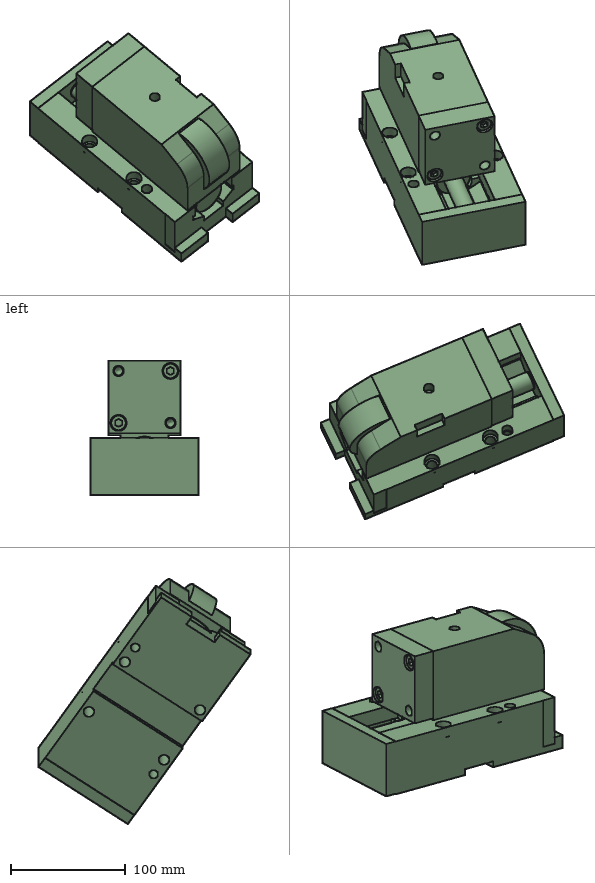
import cadquery as cq
import math


BASE_LENGTH = 190.0
BASE_WIDTH = 94.0
RAIL_HEIGHT = 49.8
RAIL_END = 181.6
FOOT_HEIGHT = 12.2
FOOT_NOTCH_WIDTH = 29.6
STOP_THICKNESS = 10.3
STOP_RISE = 0.2
STOP_RELIEF = 0.5
KEYWAY_START = 85.1
KEYWAY_END = 115.1
KEYWAY_DEPTH = 5.5
PAD_START = 169.5
PAD_BOTTOM = 6.0
PAD_DEPTH = 0.2

LIP_HALF_WIDTH = 22.2
LIP_THICKNESS = 13.5
UNDERCUT_HALF_WIDTH = 24.5
LEDGE_HALF_WIDTH = 23.2
LEDGE_HEIGHT = 31.7
TROUGH_HALF_WIDTH = 11.5
TROUGH_FLOOR = 19.0
SLOT_ANGLE = 30.0
LIP_BOTTOM = RAIL_HEIGHT - LIP_THICKNESS

HOLE_OFFSET = 39.5
BOLT_HOLE_X = (67.0, 122.7)
BOLT_HOLE_RADIUS = 4.5
COUNTERBORE_RADIUS = 6.6
COUNTERBORE_DEPTH = 9.5
RAIL_TAPPED_PLACES = ((51.0, HOLE_OFFSET), (138.9, -HOLE_OFFSET))

THREAD_RADIUS = 4.5
TAP_DRILL_RADIUS = 3.8
THREAD_DEPTH = 11.4
DRILL_POINT_ANGLE = 118.0

SLIDE_START = 62.1
SLIDE_WIDTH = 63.0
SLIDE_BOTTOM = 52.0
SLIDE_TOP = 117.0
NECK_WIDTH = 42.0
RUNNER_START = 57.8
RUNNER_BOTTOM_HALF_WIDTH = 13.3
SLOPE_START = 149.0
NOSE_ARC_RADIUS = 24.1
SLOPE_ANGLE = 26.6
FOLLOWER_X = 157.1
FOLLOWER_RADIUS = 31.7
FOLLOWER_WIDTH = 24.1
POCKET_START = 107.2
POCKET_END = 133.4
POCKET_INNER_Y = 26.2
POCKET_DEPTH = 15.2
LIFTING_HOLE_X = 108.0
LIFTING_HOLE_RADIUS = 4.4
LIFTING_HOLE_DEPTH = 15.2

PLATE_START = 42.2
PLATE_BOTTOM = 54.0
PLATE_HOLE_OFFSET = 22.6
PLATE_HOLE_DEPTH = 15.2
HEAD_BORE_RADIUS = 7.0
HEAD_RADIUS = 6.3
HEAD_BORE_DEPTH = 9.5
HEAD_RECESS = 1.9
HEX_WIDTH = 6.0
HEX_DEPTH = 3.8

SPRING_HEIGHT = 35.5
CYLINDER_RADIUS = 15.5
CYLINDER_END = 175.5
CYLINDER_CHAMFER = 0.5
ROD_RADIUS = 8.2
ROD_CHAMFER_LENGTH = 1.1
ROD_CHAMFER_HEIGHT = 0.5


def block(x_range, y_range, z_range):
    """Box between two limits on each axis."""
    size = [high - low for low, high in (x_range, y_range, z_range)]
    corner = (x_range[0], y_range[0], z_range[0])
    return cq.Workplane("XY").box(*size, centered=False).translate(corner)


def centred_block(x_range, width, z_range):
    """Box that is symmetric about the middle plane."""
    return block(x_range, (-width / 2, width / 2), z_range)


def mirrored_profile(right_side, x_start, x_end):
    """Prism along X from the +Y half of a symmetric (y, z) outline."""
    left_side = [(-y, z) for y, z in reversed(right_side)]
    plane = cq.Workplane("YZ", origin=(x_start, 0, 0))
    return plane.polyline(right_side + left_side).close().extrude(x_end - x_start)


def drilled_hole(radius, depth):
    """Blind hole tool that runs along -Z from the origin and ends in a drill point."""
    point = radius / math.tan(math.radians(DRILL_POINT_ANGLE / 2))
    outline = [(0, 0), (radius, 0), (radius, -depth), (0, -depth - point)]
    return cq.Workplane("XZ").polyline(outline).close().revolve(360, (0, 0), (0, 1))


def x_cylinder(radius, x_start, x_end, y, z):
    return cq.Workplane("YZ", origin=(x_start, y, z)).circle(radius).extrude(x_end - x_start)


def slope_height(y):
    """Height of the sloped slot bottom at a distance from the middle plane."""
    return LEDGE_HEIGHT - (LEDGE_HALF_WIDTH - y) * math.tan(math.radians(SLOT_ANGLE))


def undercut_outline(bottom_half_width):
    """+Y half of the undercut section, from the lip down to a point on the slope."""
    return [
        (UNDERCUT_HALF_WIDTH, LIP_BOTTOM),
        (UNDERCUT_HALF_WIDTH, LEDGE_HEIGHT),
        (LEDGE_HALF_WIDTH, LEDGE_HEIGHT),
        (bottom_half_width, slope_height(bottom_half_width)),
    ]


def make_slot():
    lips = [(LIP_HALF_WIDTH, RAIL_HEIGHT), (LIP_HALF_WIDTH, LIP_BOTTOM)]
    trough = [(TROUGH_HALF_WIDTH, TROUGH_FLOOR)]
    outline = lips + undercut_outline(TROUGH_HALF_WIDTH) + trough
    return mirrored_profile(outline, STOP_THICKNESS, RAIL_END)


def base_blank():
    rails = centred_block((STOP_THICKNESS, RAIL_END), BASE_WIDTH, (0, RAIL_HEIGHT))
    foot = centred_block((RAIL_END, BASE_LENGTH), BASE_WIDTH, (0, FOOT_HEIGHT))
    stop = centred_block((0, STOP_THICKNESS), BASE_WIDTH, (STOP_RELIEF, RAIL_HEIGHT + STOP_RISE))
    return rails.union(foot).union(stop)


def cut_rail_holes(base):
    bolt_places = [(x, y) for x in BOLT_HOLE_X for y in (-HOLE_OFFSET, HOLE_OFFSET)]
    top = cq.Workplane("XY", origin=(0, 0, RAIL_HEIGHT))
    base = base.cut(top.pushPoints(bolt_places).circle(BOLT_HOLE_RADIUS).extrude(-RAIL_HEIGHT))
    base = base.cut(top.pushPoints(bolt_places).circle(COUNTERBORE_RADIUS).extrude(-COUNTERBORE_DEPTH))
    base = base.cut(top.pushPoints(RAIL_TAPPED_PLACES).circle(TAP_DRILL_RADIUS).extrude(-RAIL_HEIGHT))
    return base.cut(top.pushPoints(RAIL_TAPPED_PLACES).circle(THREAD_RADIUS).extrude(-THREAD_DEPTH))


def make_base():
    base = base_blank().cut(make_slot())
    base = base.cut(centred_block((KEYWAY_START, KEYWAY_END), BASE_WIDTH, (0, KEYWAY_DEPTH)))
    base = base.cut(centred_block((RAIL_END, BASE_LENGTH), FOOT_NOTCH_WIDTH, (0, FOOT_HEIGHT)))
    half_width = BASE_WIDTH / 2
    for y_range in ((-half_width, PAD_DEPTH - half_width), (half_width - PAD_DEPTH, half_width)):
        base = base.cut(block((PAD_START, RAIL_END), y_range, (PAD_BOTTOM, RAIL_HEIGHT)))
    return cut_rail_holes(base)


def slide_head():
    """Upper block whose +X top corner is a slope that runs tangent into an arc."""
    angle = math.radians(SLOPE_ANGLE)
    arc_x = RAIL_END - NOSE_ARC_RADIUS
    arc_start_x = arc_x + NOSE_ARC_RADIUS * math.sin(angle)
    arc_start_z = SLIDE_TOP - (arc_start_x - SLOPE_START) * math.tan(angle)
    arc_z = arc_start_z - NOSE_ARC_RADIUS * math.cos(angle)
    middle_angle = (angle + math.pi / 2) / 2
    arc_middle = (
        arc_x + NOSE_ARC_RADIUS * math.sin(middle_angle),
        arc_z + NOSE_ARC_RADIUS * math.cos(middle_angle),
    )
    return (
        cq.Workplane("XZ")
        .moveTo(SLIDE_START, SLIDE_BOTTOM)
        .lineTo(SLIDE_START, SLIDE_TOP)
        .lineTo(SLOPE_START, SLIDE_TOP)
        .lineTo(arc_start_x, arc_start_z)
        .threePointArc(arc_middle, (RAIL_END, arc_z))
        .lineTo(RAIL_END, SLIDE_BOTTOM)
        .close()
        .extrude(SLIDE_WIDTH / 2, both=True)
    )


def make_slide():
    neck = centred_block((SLIDE_START, PAD_START), NECK_WIDTH, (LIP_BOTTOM, SLIDE_BOTTOM))
    runner = mirrored_profile(undercut_outline(RUNNER_BOTTOM_HALF_WIDTH), RUNNER_START, PAD_START)
    follower = (
        cq.Workplane("XZ", origin=(FOLLOWER_X, 0, SLIDE_TOP - FOLLOWER_RADIUS))
        .circle(FOLLOWER_RADIUS)
        .extrude(FOLLOWER_WIDTH / 2, both=True)
    )
    slide = slide_head().union(neck).union(runner).union(follower)
    pocket = block(
        (POCKET_START, POCKET_END),
        (POCKET_INNER_Y, SLIDE_WIDTH / 2),
        (SLIDE_TOP - POCKET_DEPTH, SLIDE_TOP),
    )
    lifting_hole = drilled_hole(LIFTING_HOLE_RADIUS, LIFTING_HOLE_DEPTH)
    spring_bore = x_cylinder(CYLINDER_RADIUS, RUNNER_START, PAD_START, 0, SPRING_HEIGHT)
    slide = slide.cut(pocket).cut(lifting_hole.translate((LIFTING_HOLE_X, 0, SLIDE_TOP)))
    return slide.cut(spring_bore)


def cut_plate_tapped_hole(plate, y, z):
    drill = drilled_hole(TAP_DRILL_RADIUS, PLATE_HOLE_DEPTH)
    drill = drill.rotate((0, 0, 0), (0, 1, 0), -90).translate((PLATE_START, y, z))
    thread = x_cylinder(THREAD_RADIUS, PLATE_START, PLATE_START + THREAD_DEPTH, y, z)
    return plate.cut(drill).cut(thread)


def add_screw_head(plate, y, z):
    """Ring-shaped gap around a recessed socket head that is one piece with the plate."""
    head_top = PLATE_START + HEAD_RECESS
    bore_bottom = PLATE_START + HEAD_BORE_DEPTH
    bore = x_cylinder(HEAD_BORE_RADIUS, PLATE_START, bore_bottom, y, z)
    head = x_cylinder(HEAD_RADIUS, head_top, bore_bottom, y, z)
    hexagon_diameter = HEX_WIDTH / math.cos(math.pi / 6)
    socket = (
        cq.Workplane("YZ", origin=(head_top, y, z))
        .transformed(rotate=(0, 0, 90))
        .polygon(6, hexagon_diameter)
        .extrude(HEX_DEPTH)
    )
    return plate.cut(bore).union(head.cut(socket))


def make_tool_plate():
    plate = centred_block((PLATE_START, SLIDE_START), SLIDE_WIDTH, (PLATE_BOTTOM, SLIDE_TOP))
    centre_z = (PLATE_BOTTOM + SLIDE_TOP) / 2
    for side in (-1, 1):
        y = side * PLATE_HOLE_OFFSET
        plate = cut_plate_tapped_hole(plate, y, centre_z + y)
        plate = add_screw_head(plate, y, centre_z - y)
    return plate


def make_gas_spring():
    """Chamfered rod and cylinder, turned about the spring axis."""
    outline = [
        (STOP_THICKNESS, 0),
        (STOP_THICKNESS, ROD_RADIUS - ROD_CHAMFER_HEIGHT),
        (STOP_THICKNESS + ROD_CHAMFER_LENGTH, ROD_RADIUS),
        (SLIDE_START, ROD_RADIUS),
        (SLIDE_START, CYLINDER_RADIUS - CYLINDER_CHAMFER),
        (SLIDE_START + CYLINDER_CHAMFER, CYLINDER_RADIUS),
        (CYLINDER_END - CYLINDER_CHAMFER, CYLINDER_RADIUS),
        (CYLINDER_END, CYLINDER_RADIUS - CYLINDER_CHAMFER),
        (CYLINDER_END, 0),
    ]
    plane = cq.Workplane("XZ", origin=(0, 0, SPRING_HEIGHT))
    return plane.polyline(outline).close().revolve(360, (0, 0), (1, 0))


base = make_base()
slide = make_slide()
tool_plate = make_tool_plate()
gas_spring = make_gas_spring()

result = cq.Compound.makeCompound([base.val(), slide.val(), tool_plate.val(), gas_spring.val()])